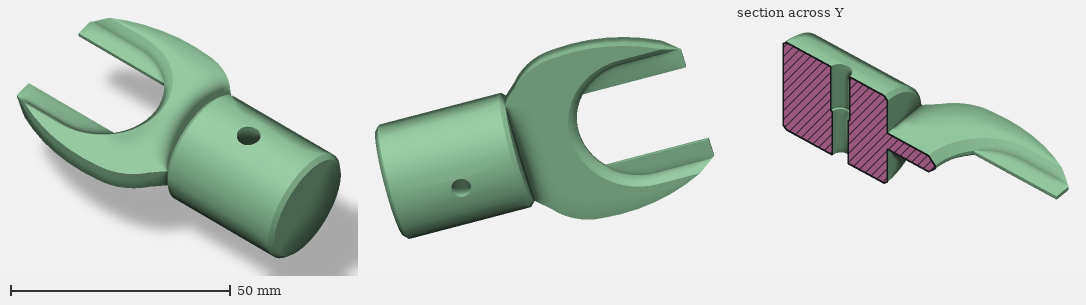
import cadquery as cq

total_length = 73.0
overlap = 3.65

handle_diameter = 27.0
handle_start = 42.1
handle_chamfer = 1.0

cross_hole_x = 56.1
cross_hole_diameter = 4.5
cross_hole_mouth_diameter = 5.5
mouth_depth = handle_diameter / 2

blade_thickness = 5.05
tip_half_width = 13.7
jaw_mid = (11.0, 19.0)
jaw_end = (28.4, 20.7)
shoulder_mid = (34.3, 19.2)
shoulder_end = (39.1, 15.25)
neck_half_width = 12.4

throat_x = 14.0
throat_radius = 14.1
bevel_width = 2.0
lip_thickness = 1.0
lip_half_gap = 9.35


def make_blade():
    """Flat fork plate, before its mouth is cut."""
    def mirrored(point):
        return (point[0], -point[1])

    neck = (handle_start, neck_half_width)
    outline = (
        cq.Workplane("XY")
        .moveTo(0, -tip_half_width)
        .lineTo(0, tip_half_width)
        .threePointArc(jaw_mid, jaw_end)
        .threePointArc(shoulder_mid, shoulder_end)
        .lineTo(*neck)
        .lineTo(handle_start + overlap, neck_half_width)
        .lineTo(handle_start + overlap, -neck_half_width)
        .lineTo(*mirrored(neck))
        .lineTo(*mirrored(shoulder_end))
        .threePointArc(mirrored(shoulder_mid), mirrored(jaw_end))
        .threePointArc(mirrored(jaw_mid), (0, -tip_half_width))
        .close()
    )
    return outline.extrude(blade_thickness / 2, both=True)


def make_throat():
    """Cutter for the round throat, opening out from the lip to the blade's upper face."""
    bevel_height = (blade_thickness - lip_thickness) / 2
    wide_radius = throat_radius + bevel_width

    section = [
        (0, lip_thickness / 2),
        (throat_radius, lip_thickness / 2),
        (wide_radius, lip_thickness / 2 + bevel_height),
        (0, lip_thickness / 2 + bevel_height),
    ]
    round_end = (
        cq.Workplane("XZ", origin=(throat_x, 0, 0))
        .polyline(section)
        .close()
        .revolve(360, (0, 0), (0, 1))
    )
    half_channel = (
        cq.Workplane("YZ")
        .polyline(section)
        .close()
        .extrude(throat_x)
    )
    return round_end.union(half_channel).union(half_channel.mirror("XZ"))


def make_lip_opening():
    """Cutter through the lip layer: the throat circle limited to the gap between lips."""
    circle = cq.Workplane("XY").center(throat_x, 0).circle(throat_radius)
    disc = circle.extrude(lip_thickness / 2, both=True)
    reach = throat_x + throat_radius
    gap = cq.Workplane("XY").box(2 * reach, 2 * lip_half_gap, lip_thickness)
    before_throat = (
        cq.Workplane("XY")
        .box(throat_x, 2 * lip_half_gap, lip_thickness)
        .translate((throat_x / 2, 0, 0))
    )
    return disc.intersect(gap).union(before_throat)


def make_handle():
    return (
        cq.Workplane("YZ", origin=(handle_start, 0, 0))
        .circle(handle_diameter / 2)
        .extrude(total_length - handle_start)
        .faces("<X or >X")
        .chamfer(handle_chamfer)
    )


def make_cross_hole():
    """Through hole with a wider mouth at the top."""
    axis = cq.Workplane("XY").center(cross_hole_x, 0)
    cutter = axis.circle(cross_hole_diameter / 2).extrude(handle_diameter / 2, both=True)
    mouth = (
        cq.Workplane("XY", origin=(cross_hole_x, 0, handle_diameter / 2))
        .circle(cross_hole_mouth_diameter / 2)
        .extrude(-mouth_depth)
    )
    return cutter.union(mouth)


throat = make_throat()
fork = make_blade().cut(throat).cut(throat.mirror("XY")).cut(make_lip_opening())
result = make_handle().union(fork).cut(make_cross_hole())